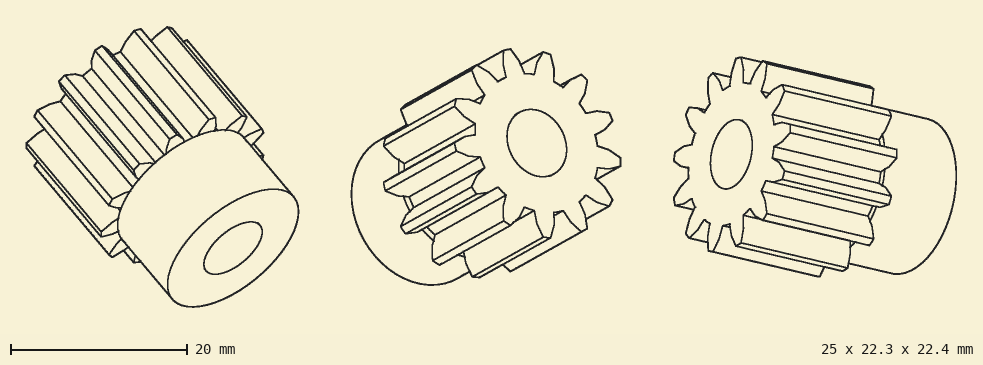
import cadquery as cq
import math

total_length = 25.0
face_width = 15.0
hub_length = total_length - face_width
hub_diameter = 18.0
bore_diameter = 8.0

tooth_count = 13
module = 1.5
pitch_radius = module * tooth_count / 2
tip_radius = pitch_radius + module
root_radius = 8.25
tip_thickness = 1.0
pitch_thickness = 2.32
root_thickness = 2.65

tooth_spacing = 2 * math.pi / tooth_count
first_tooth_angle = math.pi


def polar(radius, angle):
    """Point in the YZ plane, with the angle measured from +Y towards +Z."""
    return (radius * math.cos(angle), radius * math.sin(angle))


def half_angle(thickness, radius):
    """Angle from the tooth centreline to its flank at the given radius."""
    return math.asin(thickness / 2 / radius)


def gear_outline():
    """Closed gear profile: two flats per flank, with arcs at the tips and roots."""
    root_half = half_angle(root_thickness, root_radius)
    pitch_half = half_angle(pitch_thickness, pitch_radius)
    tip_half = half_angle(tip_thickness, tip_radius)

    start = polar(root_radius, first_tooth_angle - root_half)
    outline = cq.Workplane("YZ").moveTo(*start)
    for tooth in range(tooth_count):
        centre = first_tooth_angle + tooth * tooth_spacing
        gap_centre = centre + tooth_spacing / 2
        next_root = centre + tooth_spacing - root_half
        outline = (
            outline.lineTo(*polar(pitch_radius, centre - pitch_half))
            .lineTo(*polar(tip_radius, centre - tip_half))
            .threePointArc(polar(tip_radius, centre), polar(tip_radius, centre + tip_half))
            .lineTo(*polar(pitch_radius, centre + pitch_half))
            .lineTo(*polar(root_radius, centre + root_half))
            .threePointArc(polar(root_radius, gap_centre), polar(root_radius, next_root))
        )
    return outline.close()


def cylinder(diameter, start_x, length):
    """Solid cylinder along X."""
    return cq.Workplane("YZ", origin=(start_x, 0, 0)).circle(diameter / 2).extrude(length)


gear = gear_outline().extrude(face_width)
hub = cylinder(hub_diameter, face_width, hub_length)
bore = cylinder(bore_diameter, 0, total_length)

result = gear.union(hub).cut(bore)